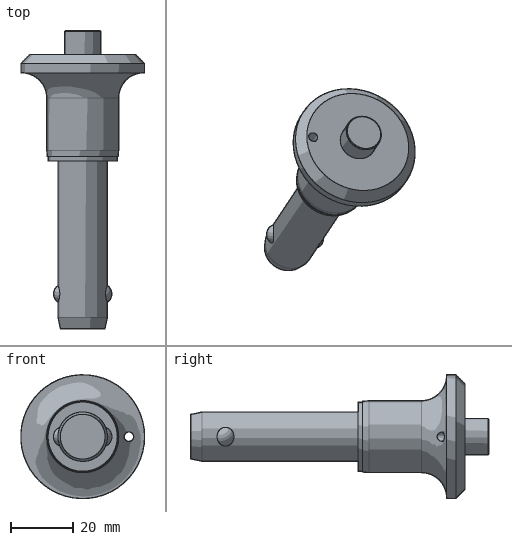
import cadquery as cq

overall_length = 96.2
tip_y = -overall_length / 2
button_end_y = overall_length / 2

button_radius = 5.9
button_length = 7.7
button_edge_chamfer = 0.3

flange_radius = 20.0
flange_chamfer = 3.0
flange_rim_width = 3.0
flare_length = 8.1

body_radius = 11.6
body_length = 16.9
taper_length = 2.0
taper_end_radius = 11.4
collar_length = 1.4
collar_radius = 11.2

shank_radius = 8.0
tip_length = 3.7
tip_end_radius = 7.2

ball_radius = 3.3
ball_reach = 9.4
ball_from_tip = 11.3

lanyard_hole_diameter = 3.0
lanyard_hole_x = 14.9

flange_back_y = button_end_y - button_length
rim_back_y = flange_back_y - flange_chamfer
rim_front_y = rim_back_y - flange_rim_width
flare_end_y = rim_front_y - flare_length
taper_start_y = flare_end_y - body_length
collar_start_y = taper_start_y - taper_length
collar_end_y = collar_start_y - collar_length


def turned_body():
    """Half section in the XY plane, revolved about the Y axis."""
    flare_rise = flange_radius - body_radius
    flare_radius = (flare_rise**2 + flare_length**2) / (2 * flare_rise)
    profile = (
        cq.Workplane("XY")
        .moveTo(0, tip_y)
        .lineTo(tip_end_radius, tip_y)
        .lineTo(shank_radius, tip_y + tip_length)
        .lineTo(shank_radius, collar_end_y)
        .lineTo(collar_radius, collar_end_y)
        .lineTo(collar_radius, collar_start_y)
        .lineTo(taper_end_radius, collar_start_y)
        .lineTo(body_radius, taper_start_y)
        .lineTo(body_radius, flare_end_y)
        .radiusArc((flange_radius, rim_front_y), flare_radius)
        .lineTo(flange_radius, rim_back_y)
        .lineTo(flange_radius - flange_chamfer, flange_back_y)
        .lineTo(button_radius, flange_back_y)
        .lineTo(button_radius, button_end_y - button_edge_chamfer)
        .lineTo(button_radius - button_edge_chamfer, button_end_y)
        .lineTo(0, button_end_y)
        .close()
    )
    return profile.revolve(360, (0, 0, 0), (0, 1, 0))


def locking_ball(side):
    center_x = side * (ball_reach - ball_radius)
    return cq.Workplane("XY").sphere(ball_radius).translate((center_x, tip_y + ball_from_tip, 0))


def lanyard_hole():
    """Hole through the flange, parallel to the pin axis."""
    return (
        cq.Workplane("XZ", origin=(lanyard_hole_x, button_end_y, 0))
        .circle(lanyard_hole_diameter / 2)
        .extrude(overall_length)
    )


result = turned_body()
for side in (-1, 1):
    result = result.union(locking_ball(side))
result = result.cut(lanyard_hole())